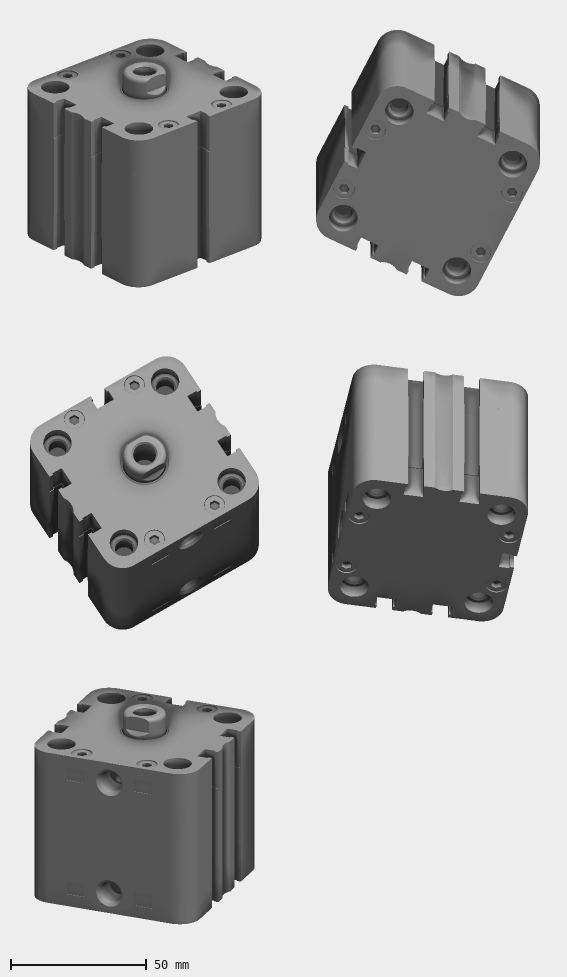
import cadquery as cq
import math


side = 65.5
half_side = side / 2
corner_radius = 8.0
body_height = 60.0
cap_height = 14.5
tube_height = body_height - 2 * cap_height
bore_diameter = 50.0

slot_offset = 10.45
slot_mouth_width = 5.6
slot_inner_width = 6.8
slot_depth = 5.4
slot_lip = 1.8
cap_slot_clearance = 0.2
groove_radius = 6.0
groove_depth = 1.05

mount_pitch = 46.5
mount_counterbore_diameter = 10.5
mount_counterbore_depth = 5.2
mount_thread_diameter = 6.65
mount_chamfer_diameter = 8.0
mount_hole_depth = 12.5

screw_spacing_x = 56.0
screw_spacing_y = 26.0
screw_seat_diameter = 7.7
screw_head_diameter = 7.5
screw_seat_depth = 4.0
screw_head_recess = 0.4
screw_socket_across_flats = 3.5
screw_socket_depth = 2.0

port_end_distance = 7.9
port_diameter = 8.57
port_mouth_diameter = 10.5
port_depth = 10.0
passage_diameter = 3.5
passage_offset = 2.0
passage_length = 4.0

label_width = 7.1
label_height = 5.0
label_depth = 0.2
label_offset = 13.45
label_end_distance = 7.25

rod_diameter = 16.0
rod_top = 68.0
rod_rim_fillet = 1.7
rod_across_flats = 13.0
rod_flat_length = 5.5
rod_thread_diameter = 8.38
rod_thread_depth = 16.0
rod_chamfer_diameter = 9.7
piston_thickness = 12.0
wiper_groove_outer_diameter = 18.0
wiper_groove_bottom_diameter = 17.7
wiper_inner_diameter = 16.54
wiper_seat_depth = 1.5


def slot_cutter(height, clearance):
    """T-slot opening toward -Y, centred on X = 0 and standing on Z = 0."""
    inner_width = slot_inner_width + 2 * clearance
    mouth_width = slot_mouth_width + 2 * clearance
    floor_y = -half_side + slot_depth + clearance
    lip_y = -half_side + slot_lip - clearance
    inner = (
        cq.Workplane("XY")
        .center(0, (floor_y + lip_y) / 2)
        .rect(inner_width, floor_y - lip_y)
        .extrude(height)
    )
    mouth = (
        cq.Workplane("XY")
        .center(0, (floor_y - half_side) / 2)
        .rect(mouth_width, floor_y + half_side)
        .extrude(height)
    )
    return inner.union(mouth)


def profile_block(height, slot_clearance):
    """Rounded square block with its slots and grooves, standing on Z = 0."""
    block = cq.Workplane("XY").rect(side, side).extrude(height).edges("|Z").fillet(corner_radius)

    slot = slot_cutter(height, slot_clearance)
    for turn in (0, 180):
        for x in (-slot_offset, slot_offset):
            block = block.cut(slot.translate((x, 0, 0)).rotate((0, 0, 0), (0, 0, 1), turn))
    block = block.cut(slot.rotate((0, 0, 0), (0, 0, 1), 90))

    groove_axis_y = half_side - groove_depth + groove_radius
    grooves = (
        cq.Workplane("XY")
        .pushPoints([(0, -groove_axis_y), (0, groove_axis_y)])
        .circle(groove_radius)
        .extrude(height)
    )
    return block.cut(grooves)


def disc(diameter, bottom, top):
    """Cylinder on the Z axis between two heights."""
    return cq.Workplane("XY").workplane(offset=bottom).circle(diameter / 2).extrude(top - bottom)


def ring(outer_diameter, inner_diameter, bottom, top):
    """Ring on the Z axis between two heights."""
    return disc(outer_diameter, bottom, top).cut(disc(inner_diameter, bottom, top))


def countersink(mouth_diameter, hole_diameter, top):
    """45 degree cone narrowing downward from the mouth to the hole."""
    depth = (mouth_diameter - hole_diameter) / 2
    return cq.Workplane("XY").add(
        cq.Solid.makeCone(hole_diameter / 2, mouth_diameter / 2, depth, cq.Vector(0, 0, top - depth))
    )


def mount_hole_cutter():
    """Blind threaded hole with a chamfer at the foot of its counterbore."""
    seat = cap_height - mount_counterbore_depth
    counterbore = disc(mount_counterbore_diameter, seat, cap_height)
    thread = disc(mount_thread_diameter, cap_height - mount_hole_depth, cap_height)
    chamfer = countersink(mount_chamfer_diameter, mount_thread_diameter, seat)
    return counterbore.union(thread).union(chamfer)


def screw_cutter():
    """Thin gap around the screw head, the recess above it and the hexagon socket in it."""
    head_top = cap_height - screw_head_recess
    gap = ring(screw_seat_diameter, screw_head_diameter, cap_height - screw_seat_depth, cap_height)
    recess = disc(screw_seat_diameter, head_top, cap_height)
    socket = (
        cq.Workplane("XY")
        .workplane(offset=head_top - screw_socket_depth)
        .polygon(6, screw_socket_across_flats / math.cos(math.pi / 6))
        .extrude(screw_socket_depth)
        .rotate((0, 0, 0), (0, 0, 1), 90)
    )
    return gap.union(recess).union(socket)


def port_cutter():
    """Blind port with a chamfered mouth at Z = 0."""
    hole = disc(port_diameter, -port_depth, 0)
    return hole.union(countersink(port_mouth_diameter, port_diameter, 0))


def to_port(cutter, distance_below_end):
    """Lay a cutter whose mouth faces +Z into the -X side, below the outer end of the cap."""
    return cutter.rotate((0, 0, 0), (0, 1, 0), -90).translate(
        (-half_side, 0, cap_height - distance_below_end)
    )


def label_cutters():
    """Shallow rectangular recesses in the -X side."""
    center_z = cap_height - label_end_distance
    return (
        cq.Workplane("YZ", origin=(-half_side, 0, center_z))
        .pushPoints([(-label_offset, 0), (label_offset, 0)])
        .rect(label_width, label_height)
        .extrude(label_depth)
    )


def wiper_groove_cutter():
    """45 degree V-groove around the wiper lip, in the outer face of the cap."""
    outer_radius = wiper_groove_outer_diameter / 2
    bottom_radius = wiper_groove_bottom_diameter / 2
    half_width = outer_radius - bottom_radius
    return (
        cq.Workplane("XZ")
        .moveTo(outer_radius, cap_height)
        .lineTo(bottom_radius, cap_height - half_width)
        .lineTo(bottom_radius - half_width, cap_height)
        .close()
        .revolve(360, (0, 0, 0), (0, 1, 0))
    )


def make_plain_cap():
    """Cap with its inner face on Z = 0 and its outer face upward."""
    cap = profile_block(cap_height, cap_slot_clearance)
    mount_hole = mount_hole_cutter()
    screw = screw_cutter()
    for x_sign in (-1, 1):
        for y_sign in (-1, 1):
            cap = cap.cut(mount_hole.translate((x_sign * mount_pitch / 2, y_sign * mount_pitch / 2, 0)))
            cap = cap.cut(screw.translate((x_sign * screw_spacing_x / 2, y_sign * screw_spacing_y / 2, 0)))
    return cap.cut(to_port(port_cutter(), port_end_distance)).cut(label_cutters())


def make_front_cap():
    """Upper cap: adds the rod bore, the wiper around the rod and the air passage."""
    passage = disc(passage_diameter, -port_depth - passage_length, -port_depth)
    cap = make_plain_cap()
    cap = cap.cut(to_port(passage, port_end_distance + passage_offset))
    cap = cap.cut(disc(rod_diameter, 0, cap_height))
    cap = cap.cut(disc(wiper_inner_diameter, cap_height - wiper_seat_depth, cap_height))
    cap = cap.cut(wiper_groove_cutter())
    return cap.translate((0, 0, body_height - cap_height))


def make_rear_cap():
    """Lower cap: the mirror image of the plain cap, outer face downward."""
    return make_plain_cap().mirror("XY").translate((0, 0, cap_height))


def make_tube():
    tube = profile_block(tube_height, 0).cut(disc(bore_diameter, 0, tube_height))
    return tube.translate((0, 0, cap_height))


def flat_cutter():
    """Wrench flat on the +X side, running out of the rod at 45 degrees."""
    flat_x = rod_across_flats / 2
    flat_bottom = rod_top - rod_flat_length
    outer_x = rod_diameter
    return (
        cq.Workplane("XZ")
        .moveTo(flat_x, rod_top)
        .lineTo(flat_x, flat_bottom)
        .lineTo(outer_x, flat_bottom - (outer_x - flat_x))
        .lineTo(outer_x, rod_top)
        .close()
        .extrude(rod_diameter / 2, both=True)
    )


def make_piston_rod():
    """Piston at the bottom of the bore, with its rod out through the upper cap."""
    piston_top = cap_height + piston_thickness
    rod = disc(rod_diameter, piston_top, rod_top).faces(">Z").edges().fillet(rod_rim_fillet)
    flat = flat_cutter()
    rod = rod.cut(flat).cut(flat.rotate((0, 0, 0), (0, 0, 1), 180))
    rod = rod.cut(disc(rod_thread_diameter, rod_top - rod_thread_depth, rod_top))
    rod = rod.cut(countersink(rod_chamfer_diameter, rod_thread_diameter, rod_top))
    return rod.union(disc(bore_diameter, cap_height, piston_top))


front_cap = make_front_cap()
rear_cap = make_rear_cap()
tube = make_tube()
piston_rod = make_piston_rod()

result = cq.Compound.makeCompound(
    [body.solids().val() for body in (front_cap, rear_cap, tube, piston_rod)]
)